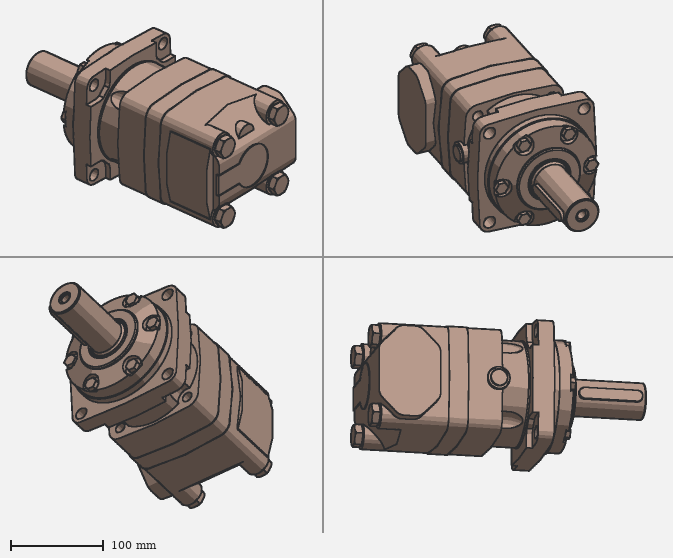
import cadquery as cq
import math


X_AXIS = ((0, 0), (1, 0))

bolt_offset = 44.0
bolt_diameter = 11.8
bolt_seat = 300.3
bolt_head_end = 309.5
bolt_head_flats = 22.0
bolt_head_corners = bolt_head_flats / math.cos(math.pi / 6)
bolt_washer_thickness = 1.0
bolt_head_chamfer = 1.2
bolt_tip = 185.8

shaft_flare_start = 78.3
housing_face = 81.0
cone_start = 84.0
cone_end = 89.5
pilot_start = 104.5
mount_start = 112.5
mount_end = 136.2
rear_flange_start = 167.5
gear_start = 205.0
cover_start = 226.3
cover_end = 306.0

shaft_radius = 40.0 / 2
shaft_chamfer = 1.2
shoulder_radius = 45.0 / 2
shaft_inner_end = 136.2
centre_bore_diameter = 15.0
centre_bore_depth = 2.0
tapped_hole_diameter = 10.2
tapped_hole_depth = 24.8
key_start = 4.5
key_end = 74.5
key_width = 12.0
key_top = 23.2

face_radius = 37.8
face_chamfer = 1.5
front_radius = 61.0
pilot_radius = 62.5
neck_radius = 57.5
neck_collar_radius = 58.2
neck_collar_end = 138.0
seal_recess_radius = 25.5
seal_recess_inner_radius = 24.0
seal_recess_depth = 2.5

screw_count = 6
screw_circle_radius = 54.0
screw_pocket_diameter = 21.7
screw_pocket_floor = 92.3
screw_head_flats = 13.0
screw_head_face = 86.7

mount_peak = 142.0 / 2
mount_corner = 67.8
mount_corner_radius = 11.8
mount_hole_offset = 56.7
mount_hole_diameter = 14.0
mount_relief_start = 129.7
mount_relief_inner = 37.8
mount_relief_radius = mount_hole_offset - mount_relief_inner

boss_radius = 28.8 / 2
rear_flange_peak = 61.3
rear_flange_corner = 57.5
gear_peak = 62.0
gear_corner = 58.2
cover_peak = 63.0
cover_corner = 56.7
cover_corner_radius = 15.0

relief_radius = 11.8
relief_straight_start = 158.0
relief_nose_radius = 23.8

drain_station = 172.0
drain_boss_diameter = 24.0
drain_boss_top = 64.5
drain_plug_diameter = 18.3
drain_plug_top = 67.0

cover_slope_start = 271.0
cover_edge_radius = 13.0
cover_side_end = 297.5
cover_rear_side = 54.2
end_disc_radius = 25.0
end_disc_end = 306.8
side_tab_start = 303.0
side_tab_half_width = 12.7
side_tab_reach = 55.7
pad_start = 241.0
pad_reach = 65.3
pad_edge_reach = 59.5
pad_flat_half_width = 19.8
pad_half_width = 44.3
port_block_start = 238.0
port_block_half_height = 50.2
port_block_reach = 71.8
port_block_chamfer = cover_end - cover_slope_start - (cover_peak - port_block_half_height)
valve_boss_diameter = 24.5
valve_boss_height = 35.3


def x_plane(station):
    """Workplane normal to X, with local x along Y and local y along Z."""
    return cq.Workplane("YZ", origin=(station, 0, 0))


def four_corners(offset):
    return [(y, z) for y in (-offset, offset) for z in (-offset, offset)]


def cylinders(centres, diameter, start, end):
    return x_plane(start).pushPoints(centres).circle(diameter / 2).extrude(end - start)


def hexagons(centres, flats, start, end):
    """Hexagonal prisms with two corners pointing along Y."""
    corners = flats / math.cos(math.pi / 6)
    return x_plane(start).pushPoints(centres).polygon(6, corners).extrude(end - start)


def bulged_square(peak, corner, radius, start, end):
    """Square prism whose sides rise slightly to a ridge, with rounded corners."""
    outline = [
        (peak, 0), (corner, corner), (0, peak), (-corner, corner),
        (-peak, 0), (-corner, -corner), (0, -peak), (corner, -corner),
    ]
    prism = x_plane(start).polyline(outline).close().extrude(end - start)
    corner_edges = ">(0,1,1) or <(0,1,1) or >(0,1,-1) or <(0,1,-1)"
    return prism.edges("|X").edges(corner_edges).fillet(radius)


def revolved(profile):
    """Solid of revolution about X from (station, radius) points."""
    return cq.Workplane("XY").polyline(profile).close().revolve(360, *X_AXIS)


def make_shaft():
    flare_end = shaft_flare_start + shoulder_radius - shaft_radius
    shaft = revolved([
        (0, 0),
        (0, shaft_radius - shaft_chamfer),
        (shaft_chamfer, shaft_radius),
        (shaft_flare_start, shaft_radius),
        (flare_end, shoulder_radius),
        (shaft_inner_end, shoulder_radius),
        (shaft_inner_end, 0),
    ])
    key_length = key_end - key_start
    key = (
        cq.Workplane("XZ", origin=((key_start + key_end) / 2, 0, 0))
        .slot2D(key_length, key_width)
        .extrude(-key_top)
    )
    tapped_radius = tapped_hole_diameter / 2
    centre_hole = revolved([
        (0, 0),
        (0, centre_bore_diameter / 2),
        (centre_bore_depth, centre_bore_diameter / 2),
        (centre_bore_depth, tapped_radius),
        (tapped_hole_depth, tapped_radius),
        (tapped_hole_depth + tapped_radius, 0),
    ])
    return shaft.union(key).cut(centre_hole)


def make_housing_body():
    turned = revolved([
        (housing_face, 0),
        (housing_face, face_radius - face_chamfer),
        (housing_face + face_chamfer, face_radius),
        (cone_start, face_radius),
        (cone_end, front_radius),
        (pilot_start, front_radius),
        (pilot_start, pilot_radius),
        (mount_start, pilot_radius),
        (mount_end, pilot_radius),
        (mount_end, neck_collar_radius),
        (neck_collar_end, neck_radius),
        (rear_flange_start, neck_radius),
        (rear_flange_start, 0),
    ])
    rear_flange = bulged_square(
        rear_flange_peak, rear_flange_corner, boss_radius, rear_flange_start, gear_start
    )
    return turned.cut(make_bolt_reliefs()).union(make_mounting_flange()).union(rear_flange)


def make_mounting_flange():
    flange = bulged_square(mount_peak, mount_corner, mount_corner_radius, mount_start, mount_end)
    holes = cylinders(four_corners(mount_hole_offset), mount_hole_diameter, mount_start, mount_end)
    relief_size = mount_peak - mount_relief_inner
    relief_middle = mount_relief_inner + relief_size / 2
    reliefs = (
        x_plane(mount_relief_start)
        .pushPoints(four_corners(relief_middle))
        .rect(relief_size, relief_size)
        .extrude(mount_end - mount_relief_start)
        .edges("|X")
        .edges(cq.selectors.BoxSelector(
            (mount_relief_start, -relief_middle, -relief_middle),
            (mount_end, relief_middle, relief_middle),
        ))
        .fillet(mount_relief_radius)
    )
    collar = x_plane(mount_start).circle(pilot_radius).extrude(mount_relief_start - mount_start)
    return flange.cut(reliefs).union(collar).cut(holes)


def make_bolt_reliefs():
    """Round-nosed cutters along the bolt axes, running out towards the mounting flange."""
    arc_centre = relief_radius - relief_nose_radius
    nose_reach = math.sqrt(relief_nose_radius**2 - arc_centre**2)
    half_angle = math.asin(nose_reach / relief_nose_radius) / 2
    arc_middle = (
        relief_straight_start - relief_nose_radius * math.sin(half_angle),
        arc_centre + relief_nose_radius * math.cos(half_angle),
    )
    cutter = (
        cq.Workplane("XY")
        .moveTo(relief_straight_start - nose_reach, 0)
        .threePointArc(arc_middle, (relief_straight_start, relief_radius))
        .lineTo(rear_flange_start, relief_radius)
        .lineTo(rear_flange_start, 0)
        .close()
        .revolve(360, *X_AXIS)
    )
    cutters = cq.Workplane("XY")
    for y, z in four_corners(bolt_offset):
        cutters = cutters.add(cutter.translate((0, y, z)))
    return cutters.combine()


def make_drain_plug():
    plane = cq.Workplane("XZ", origin=(drain_station, 0, 0))
    boss = plane.circle(drain_boss_diameter / 2).extrude(-drain_boss_top)
    plug = plane.circle(drain_plug_diameter / 2).extrude(-drain_plug_top)
    return boss.union(plug)


def make_housing():
    screw_centres = [
        (screw_circle_radius * math.cos(angle), screw_circle_radius * math.sin(angle))
        for angle in (2 * math.pi * i / screw_count for i in range(screw_count))
    ]
    pockets = cylinders(screw_centres, screw_pocket_diameter, housing_face, screw_pocket_floor)
    screws = hexagons(screw_centres, screw_head_flats, screw_head_face, screw_pocket_floor)
    shaft_bore = revolved([
        (housing_face, 0),
        (housing_face, seal_recess_radius),
        (housing_face + seal_recess_depth / 2, seal_recess_inner_radius),
        (housing_face + seal_recess_depth, seal_recess_inner_radius),
        (housing_face + seal_recess_depth, shoulder_radius),
        (shaft_inner_end, shoulder_radius),
        (shaft_inner_end, 0),
    ])
    bolt_holes = cylinders(four_corners(bolt_offset), bolt_diameter, rear_flange_start, gear_start)
    housing = make_housing_body().union(make_drain_plug())
    return housing.cut(pockets).union(screws).cut(shaft_bore).cut(bolt_holes)


def make_gear_set():
    bolt_holes = cylinders(four_corners(bolt_offset), bolt_diameter, gear_start, cover_start)
    return bulged_square(gear_peak, gear_corner, boss_radius, gear_start, cover_start).cut(bolt_holes)


def make_cover_core():
    """Bulged square with 45 degree slopes at its top and bottom, narrower behind the side pad."""
    core = bulged_square(cover_peak, cover_corner, cover_corner_radius, cover_start, cover_end)
    end_half_height = cover_peak - (cover_end - cover_slope_start)
    side_profile = (
        cq.Workplane("XZ")
        .polyline([
            (cover_start, -cover_peak),
            (cover_slope_start, -cover_peak),
            (cover_end, -end_half_height),
            (cover_end, end_half_height),
            (cover_slope_start, cover_peak),
            (cover_start, cover_peak),
        ])
        .close()
        .extrude(cover_peak, both=True)
        .edges(">X and |Y")
        .fillet(cover_edge_radius)
    )
    side_cut = (
        cq.Workplane("XY")
        .box(
            cover_end - cover_side_end, cover_peak - cover_rear_side, 2 * cover_peak,
            centered=(False, False, True),
        )
        .translate((cover_side_end, -cover_peak, 0))
    )
    return core.intersect(side_profile).cut(side_cut)


def make_side_pad():
    """Raised pad on the -Y side with two sloping flanks."""
    return (
        x_plane(pad_start)
        .polyline([
            (-bolt_offset, pad_half_width),
            (-pad_edge_reach, pad_half_width),
            (-pad_reach, pad_flat_half_width),
            (-pad_reach, -pad_flat_half_width),
            (-pad_edge_reach, -pad_half_width),
            (-bolt_offset, -pad_half_width),
        ])
        .close()
        .extrude(cover_side_end - pad_start)
    )


def make_port_block():
    """Octagonal port block on the +Y side, its rear slopes flush with those of the core."""
    return (
        cq.Workplane("XY")
        .box(
            cover_end - port_block_start, port_block_reach - bolt_offset, 2 * port_block_half_height,
            centered=(False, False, True),
        )
        .translate((port_block_start, bolt_offset, 0))
        .edges("|Y")
        .chamfer(port_block_chamfer)
        .edges("|Y")
        .fillet(cover_edge_radius)
    )


def make_side_tab():
    """Narrow flat tab on the rear face, reaching out to the -Y side."""
    return (
        cq.Workplane("XY")
        .box(
            end_disc_end - side_tab_start, side_tab_reach, 2 * side_tab_half_width,
            centered=(False, False, True),
        )
        .translate((side_tab_start, -side_tab_reach, 0))
    )


def make_end_cover():
    corners = four_corners(bolt_offset)
    bolt_bosses = cylinders(corners, 2 * boss_radius, cover_start, bolt_seat)
    valve_boss = cylinders([(0, valve_boss_height)], valve_boss_diameter, cover_slope_start, cover_side_end)
    end_disc = cylinders([(0, 0)], 2 * end_disc_radius, cover_side_end, end_disc_end)
    cover = make_cover_core()
    for feature in (bolt_bosses, make_side_pad(), make_port_block(), valve_boss, end_disc, make_side_tab()):
        cover = cover.union(feature)
    bolt_holes = cylinders(corners, bolt_diameter, cover_start, bolt_seat)
    head_clearance = cylinders(corners, bolt_head_corners, bolt_seat, cover_end)
    return cover.cut(bolt_holes).cut(head_clearance)


def make_bolt(centre):
    head_start = bolt_seat + bolt_washer_thickness
    round_blank = cylinders([centre], bolt_head_corners, head_start, bolt_head_end)
    chamfered_round = round_blank.faces(">X").chamfer(bolt_head_chamfer)
    head = hexagons([centre], bolt_head_flats, head_start, bolt_head_end).intersect(chamfered_round)
    washer_face = cylinders([centre], bolt_head_flats, bolt_seat, head_start)
    shank = cylinders([centre], bolt_diameter, bolt_tip, bolt_seat)
    return shank.union(washer_face).union(head)


shaft = make_shaft()
housing = make_housing()
gear_set = make_gear_set()
end_cover = make_end_cover()
bolts = [make_bolt(centre) for centre in four_corners(bolt_offset)]

result = cq.Compound.makeCompound([
    shaft.solids().val(),
    housing.solids().val(),
    gear_set.solids().val(),
    end_cover.solids().val(),
    *[bolt.solids().val() for bolt in bolts],
])